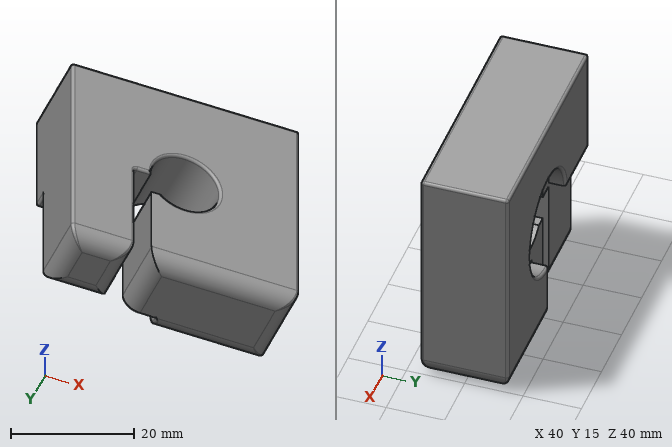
import cadquery as cq

side = 40.0
depth = 15.0
half_side = side / 2
half_depth = depth / 2

edge_radius = 0.5
foot_radius = 3.0

hole_radius = 6.0
slot_left = -9.0
slot_right = -hole_radius
slot_top = 0.0
slot_floor = -4.4

recess_depth = 3.0
recess_radius = 9.0
recess_top = 0.7
recess_right = 0.0
recess_front = half_depth - recess_depth

overlap = 4.0


def box(x0, x1, y0, y1, z0, z1):
    """Axis-aligned box given by its limits."""
    return cq.Workplane("XY").box(x1 - x0, y1 - y0, z1 - z0, centered=False).translate((x0, y0, z0))


def cylinder(radius, y0, y1):
    """Cylinder along Y, centred on the hole axis."""
    return cq.Workplane("XZ", origin=(0, y1, 0)).circle(radius).extrude(y1 - y0)


def rounded_foot(x0, x1, y0, y1):
    """Block of full height with its four bottom edges rounded."""
    return box(x0, x1, y0, y1, -half_side, half_side).faces("<Z").edges().fillet(foot_radius)


def edge_near(x, y, z):
    """Selector for the edge whose centre is nearest to the given point."""
    return cq.selectors.NearestToPointSelector((x, y, z))


left_leg = rounded_foot(-half_side, slot_left, -half_depth, recess_front)
right_foot = rounded_foot(slot_right, half_side, -half_depth, half_depth)

upper = box(-half_side, half_side, -half_depth, half_depth, slot_floor, half_side)
body = upper.union(left_leg).union(right_foot)

cutter_bottom = -half_side - overlap
slot = box(slot_left, slot_right, -half_depth, half_depth, cutter_bottom, slot_top)
slot = slot.union(box(slot_left, 0, -half_depth, half_depth, slot_floor, slot_top))
slot = slot.edges("|Y and <X and >Z").fillet(edge_radius)
body = body.cut(slot).cut(cylinder(hole_radius, -half_depth, half_depth))

recess = box(
    -half_side - overlap, recess_right, recess_front, half_depth, cutter_bottom, recess_top
)
recess = recess.union(cylinder(recess_radius, recess_front, half_depth))
body = body.cut(recess)

leg_middle = (slot_left - half_side) / 2
foot_top = foot_radius - half_side
upright_middle = (half_side + foot_top) / 2
corner_offset = foot_radius / 3
corner_z = corner_offset - half_side
corner_x = half_side - corner_offset
corner_y = half_depth - corner_offset

outer_points = [
    (-half_side, -half_depth, upright_middle),
    (half_side, -half_depth, upright_middle),
    (half_side, half_depth, upright_middle),
    (-half_side, half_depth, half_side / 2),
]
foot_corner_points = [
    (-corner_x, -corner_y, corner_z),
    (slot_left - corner_offset, -corner_y, corner_z),
    (corner_x, -corner_y, corner_z),
    (corner_x, corner_y, corner_z),
]
slot_rim_points = [
    (0, -half_depth, 0),
    ((slot_left + slot_right) / 2, -half_depth, slot_top),
    (slot_left, -half_depth, slot_top),
    (slot_left, -half_depth, foot_top / 2),
]
recess_rim_points = [
    (0, half_depth, 0),
    (leg_middle, half_depth, recess_top),
    (recess_right, half_depth, (foot_top - recess_radius) / 2),
    (-half_side, (recess_front + half_depth) / 2, recess_top),
]
recess_inner_corner = [(recess_right, recess_front, (foot_top - recess_radius) / 2)]

rounded_edges = body.faces(">Z").edges()
round_points = outer_points + foot_corner_points + slot_rim_points + recess_rim_points + recess_inner_corner
for point in round_points:
    rounded_edges = rounded_edges.add(body.edges(edge_near(*point)))

result = rounded_edges.fillet(edge_radius)